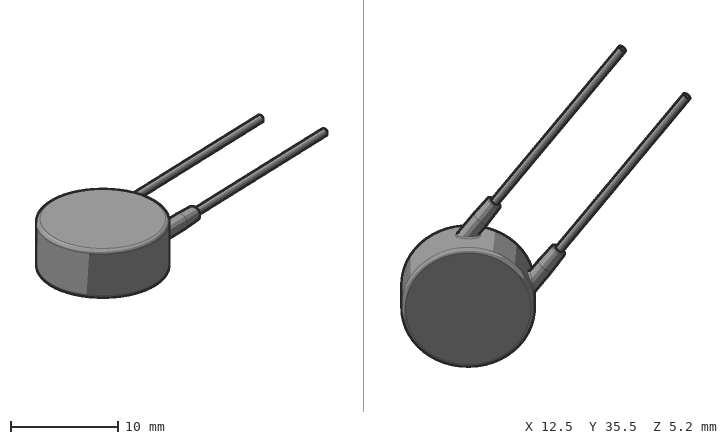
import cadquery as cq

body_diameter = 12.5
body_height = 5.2
body_edge_radius = 0.4

overall_length = 35.5
lead_spacing = 7.5
lead_height_offset = 0.5
wire_diameter = 0.78

sleeve_diameter = 1.65
sleeve_tip_diameter = 1.45
taper_start_y = 7.05
sleeve_end_y = 9.2
sleeve_tip_radius = 0.1
junction_radius = 0.15

body_radius = body_diameter / 2
wire_end_y = overall_length - body_radius
sleeve_root_y = body_radius / 2


def make_body():
    return (
        cq.Workplane("XY")
        .workplane(offset=-body_height / 2)
        .circle(body_radius)
        .extrude(body_height)
        .edges("%CIRCLE")
        .fillet(body_edge_radius)
    )


def make_sleeve(x, z):
    """Sleeve revolved about its own axis, with a rounded tip edge."""
    root_radius = sleeve_diameter / 2
    tip_radius = sleeve_tip_diameter / 2
    return (
        cq.Workplane("XY")
        .moveTo(0, sleeve_root_y)
        .lineTo(root_radius, sleeve_root_y)
        .lineTo(root_radius, taper_start_y)
        .lineTo(tip_radius, sleeve_end_y)
        .lineTo(0, sleeve_end_y)
        .close()
        .revolve(360, (0, 0, 0), (0, 1, 0))
        .faces(">Y")
        .edges()
        .fillet(sleeve_tip_radius)
        .translate((x, 0, z))
    )


def make_wire(x, z):
    wire = cq.Workplane("XZ").circle(wire_diameter / 2).extrude(sleeve_root_y - wire_end_y)
    return wire.translate((x, sleeve_root_y, z))


lead_positions = [(side * lead_spacing / 2, side * lead_height_offset) for side in (-1, 1)]

result = make_body()
for lead_x, lead_z in lead_positions:
    result = result.union(make_sleeve(lead_x, lead_z))

result = result.edges("%BSPLINE").fillet(junction_radius)

for lead_x, lead_z in lead_positions:
    result = result.union(make_wire(lead_x, lead_z))